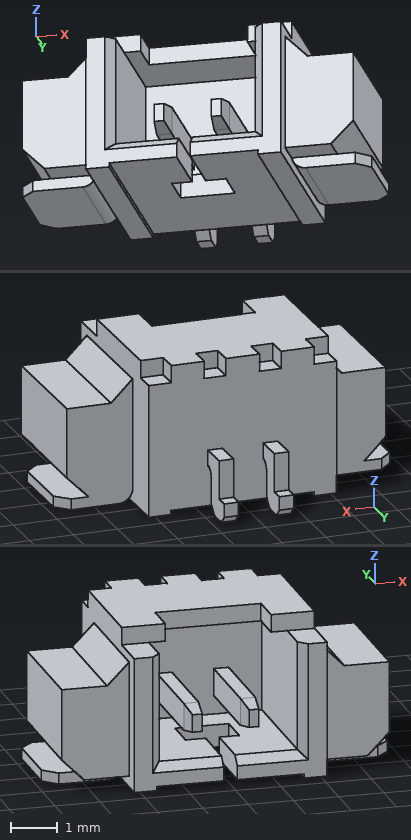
import cadquery as cq

body_width = 4.27
body_depth = 4.2
body_height = 3.4
roof_thickness = 0.39
roof_front = 0.995
wall_top = body_height - roof_thickness

window_width = 2.34
window_back = 1.8

cavity_width = 3.06
cavity_floor = 0.6
cavity_back = 3.02
lip_slope = 0.19

recess_width = 3.26
recess_depth = 0.09
slot_width = 0.3
slot_length = 1.45
floor_opening_width = 1.185
floor_opening_back = 2.295

corner_notch = 0.51
contact_notch_width = 0.49

wing_reach = 3.625
wing_front = 0.39
wing_back = 3.2
wing_bottom = 0.25
wing_top = 2.32
wing_bevel = 0.49

tab_reach = 3.825
tab_front = roof_front
tab_thickness = wing_bottom
tab_chamfer = 0.3
tab_bend_radius = 0.305

contact_pitch = 1.255
contact_width = 0.33
pin_tip = wing_front
pin_taper_start = 0.895
pin_bottom = 1.01
pin_top = 1.615
tip_width = 0.215
tip_height = 0.39
tail_top = 1.36
tail_end = 5.2
tail_reach = 0.69
tail_gap = 0.215
tail_heel = body_depth + tail_reach
tail_inner = body_depth + tail_gap
foot_height = 0.49
foot_chamfer = 0.18

contact_positions = (-contact_pitch / 2, contact_pitch / 2)


def block(width, y_start, y_end, z_start, z_end, x_center=0):
    """Box centred on x_center in X, between the given Y and Z limits."""
    return (
        cq.Workplane("XY")
        .box(width, y_end - y_start, z_end - z_start, centered=(True, False, False))
        .translate((x_center, y_start, z_start))
    )


def taper(y_start, start_size, y_end, end_size, x_center, z_center):
    """Straight-sided transition between two rectangles, given as (width, height)."""
    return (
        cq.Workplane("XZ", origin=(x_center, y_start, z_center))
        .rect(*start_size)
        .workplane(offset=y_start - y_end)
        .rect(*end_size)
        .loft(ruled=True)
    )


def make_housing():
    """Shell with its cavity, roof window, floor openings and rear notches."""
    housing = block(body_width, 0, body_depth, 0, body_height)
    housing = housing.cut(block(body_width, 0, roof_front, wall_top, body_height))
    housing = housing.cut(block(window_width, 0, window_back, wall_top, body_height))
    housing = housing.cut(block(cavity_width, 0, cavity_back, cavity_floor, wall_top))
    housing = housing.cut(make_lip())
    housing = housing.cut(block(recess_width, 0, body_depth, 0, recess_depth))
    housing = housing.cut(block(slot_width, 0, slot_length, 0, cavity_floor))
    housing = housing.cut(block(floor_opening_width, slot_length, floor_opening_back, 0, cavity_floor))
    return cut_roof_notches(housing)


def make_lip():
    """Cutter that flares the cavity mouth outwards at both sides and downwards at the floor."""
    height = wall_top - cavity_floor
    mouth_height = height + lip_slope
    mouth_width = cavity_width + 2 * lip_slope
    return (
        cq.Workplane("XZ", origin=(0, 0, wall_top))
        .center(0, -mouth_height / 2)
        .rect(mouth_width, mouth_height)
        .workplane(offset=-lip_slope)
        .center(0, lip_slope / 2)
        .rect(cavity_width, height)
        .loft(ruled=True)
    )


def cut_roof_notches(housing):
    """Remove the rear corners of the roof and a notch above each contact."""
    notch_front = body_depth - corner_notch
    corner_x = (body_width - corner_notch) / 2
    for x in (-corner_x, corner_x):
        housing = housing.cut(block(corner_notch, notch_front, body_depth, wall_top, body_height, x))
    for x in contact_positions:
        housing = housing.cut(block(contact_notch_width, notch_front, body_depth, wall_top, body_height, x))
    return housing


def make_wing():
    """Bevelled wing on the +X side."""
    root = body_width / 2
    outline = [
        (root, wing_bottom),
        (wing_reach - wing_bevel, wing_bottom),
        (wing_reach, wing_bottom + wing_bevel),
        (wing_reach, wing_top),
        (root + wing_bevel, wing_top),
        (root, wing_top + wing_bevel),
    ]
    return (
        cq.Workplane("XZ", origin=(0, wing_front, 0))
        .polyline(outline)
        .close()
        .extrude(wing_front - wing_back)
    )


def make_tab():
    """Solder tab on the +X side that bends up into the wing beside the housing."""
    root = body_width / 2
    bend_end = root + tab_bend_radius
    tab = (
        cq.Workplane("XZ", origin=(0, tab_front, 0))
        .moveTo(tab_reach, 0)
        .lineTo(bend_end, 0)
        .radiusArc((root, tab_bend_radius), tab_bend_radius)
        .lineTo(bend_end, tab_bend_radius)
        .lineTo(bend_end, tab_thickness)
        .lineTo(tab_reach, tab_thickness)
        .close()
        .extrude(tab_front - wing_back)
    )
    return tab.edges("|Z and >X").chamfer(tab_chamfer)


def make_contact(x):
    """Straight pin with a tapered tip in the cavity, plus its tail behind the housing."""
    pin_height = pin_top - pin_bottom
    pin_middle = (pin_top + pin_bottom) / 2
    pin_size = (contact_width, pin_height)
    tip_size = (tip_width, tip_height)
    pin = block(contact_width, pin_taper_start, cavity_back, pin_bottom, pin_top, x)
    tip = taper(pin_taper_start, pin_size, pin_tip, tip_size, x, pin_middle)
    return pin.union(tip).union(make_tail(x))


def make_tail(x):
    """Tail that leaves the rear wall, turns down and ends in a solder foot."""
    profile = (
        cq.Workplane("YZ", origin=(x - contact_width / 2, 0, 0))
        .moveTo(body_depth, tail_top)
        .lineTo(tail_heel, tail_top)
        .lineTo(tail_heel, foot_height)
        .lineTo(tail_end, foot_height)
        .lineTo(tail_end, foot_chamfer)
        .lineTo(tail_end - foot_chamfer, 0)
        .lineTo(tail_inner + foot_chamfer, 0)
        .lineTo(tail_inner, foot_chamfer)
        .lineTo(tail_inner, pin_bottom - tail_gap)
        .radiusArc((body_depth, pin_bottom), -tail_gap)
        .close()
    )
    return profile.extrude(contact_width)


result = make_housing()
for side_part in (make_wing(), make_tab()):
    result = result.union(side_part).union(side_part.mirror("YZ"))
for contact_x in contact_positions:
    result = result.union(make_contact(contact_x))